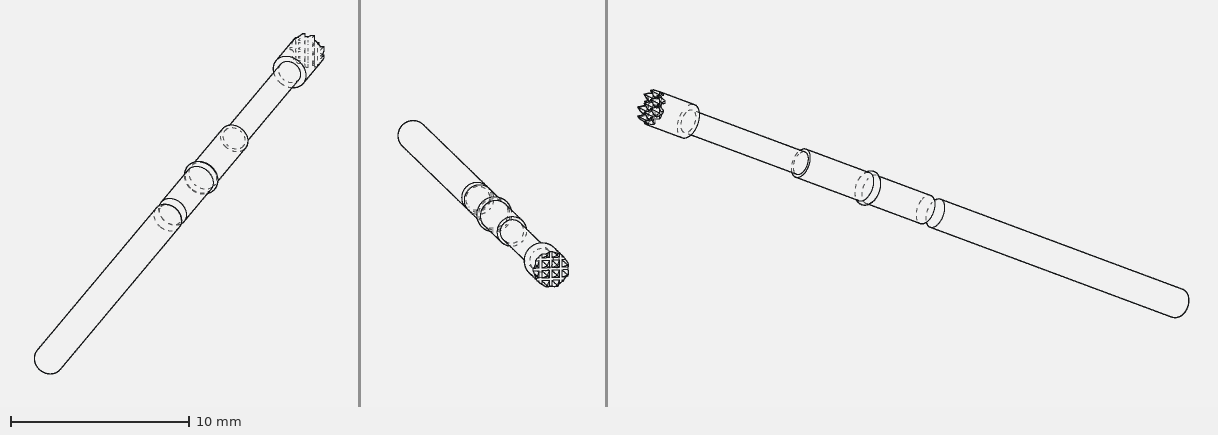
import cadquery as cq

total_length = 38.4
head_y = total_length / 2
tail_y = -total_length / 2

head_radius = 1.0
head_length = 2.95
stem_radius = 0.672
exposed_length = 11.02
barrel_y = head_y - exposed_length

barrel_radius = 0.85
tail_fillet = 0.42

ring_radius = head_radius
ring_width = 0.5
ring_distance = 15.82
ring_y = head_y - ring_distance

crimp_depth = 0.15
crimp_width = 0.7
crimp_distance = 20.3
crimp_y = head_y - crimp_distance

tooth_pitch = 0.58
tooth_height = 0.5
groove_floor = 0.15
grooves_each_way = 5
first_groove_x = -tooth_pitch * (grooves_each_way - 1) / 2


def make_body():
    """Revolve the half profile of plunger and barrel about the Y axis."""
    profile = (
        cq.Workplane("XY")
        .moveTo(0, head_y)
        .lineTo(head_radius, head_y)
        .lineTo(head_radius, head_y - head_length)
        .lineTo(stem_radius, head_y - head_length)
        .lineTo(stem_radius, barrel_y)
        .lineTo(barrel_radius, barrel_y)
        .lineTo(barrel_radius, ring_y + ring_width / 2)
        .threePointArc((ring_radius, ring_y), (barrel_radius, ring_y - ring_width / 2))
        .lineTo(barrel_radius, crimp_y + crimp_width / 2)
        .threePointArc(
            (barrel_radius - crimp_depth, crimp_y),
            (barrel_radius, crimp_y - crimp_width / 2),
        )
        .lineTo(barrel_radius, tail_y)
        .lineTo(0, tail_y)
        .close()
    )
    body = profile.revolve(360, (0, 0, 0), (0, 1, 0))
    return body.faces("<Y").edges().fillet(tail_fillet)


def make_groove(x):
    """One flared groove along Z across the head face, centred at x."""
    return (
        cq.Workplane("XY")
        .moveTo(x - tooth_pitch / 2, head_y)
        .lineTo(x - groove_floor / 2, head_y - tooth_height)
        .lineTo(x + groove_floor / 2, head_y - tooth_height)
        .lineTo(x + tooth_pitch / 2, head_y)
        .close()
        .extrude(2 * head_radius, both=True)
    )


result = make_body()

for i in range(grooves_each_way):
    groove = make_groove(first_groove_x + i * tooth_pitch)
    crossing_groove = groove.rotate((0, 0, 0), (0, 1, 0), 90)
    result = result.cut(groove).cut(crossing_groove)